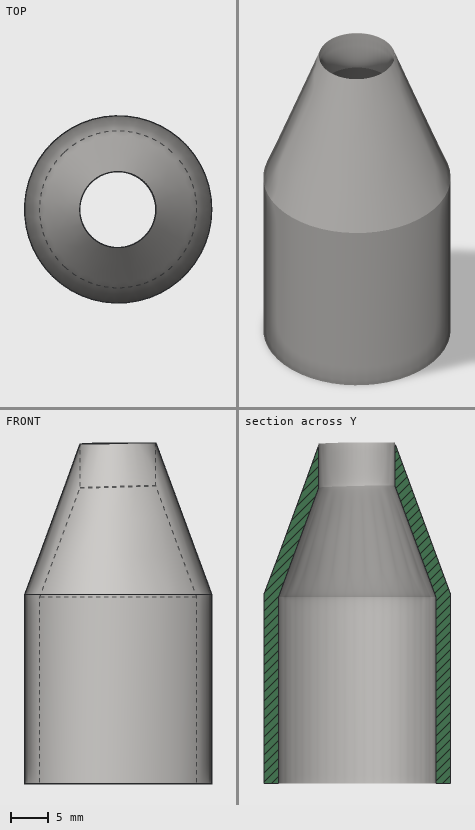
import cadquery as cq
import math

total_height = 45.0
body_height = 25.0
body_diameter = 24.75
wall_thickness = 2.0
tip_diameter = 10.0
tip_hole_diameter = 10.0

tip_hole_x = -0.05
tip_hole_y = -0.027

body_radius = body_diameter / 2
bore_radius = body_radius - wall_thickness
tip_radius = tip_diameter / 2

nose_height = total_height - body_height
nose_angle = math.atan((body_radius - tip_radius) / nose_height)
radial_wall = wall_thickness / math.cos(nose_angle)
inner_tip_radius = tip_radius - radial_wall
bore_height = total_height - (bore_radius - inner_tip_radius) / math.tan(nose_angle)


def revolved_cone_and_cylinder(cylinder_radius, cylinder_height, top_radius):
    """Solid of full height: a cylinder from the base, then a cone up to the top."""
    section = (
        cq.Workplane("XZ")
        .lineTo(cylinder_radius, 0)
        .lineTo(cylinder_radius, cylinder_height)
        .lineTo(top_radius, total_height)
        .lineTo(0, total_height)
        .close()
    )
    return section.revolve(360, (0, 0, 0), (0, 1, 0))


def make_tip_hole():
    """Straight hole through the nose, opening into the tapered cavity."""
    return (
        cq.Workplane("XY", origin=(tip_hole_x, tip_hole_y, body_height))
        .circle(tip_hole_diameter / 2)
        .extrude(nose_height)
    )


outer_shape = revolved_cone_and_cylinder(body_radius, body_height, tip_radius)
cavity = revolved_cone_and_cylinder(bore_radius, bore_height, inner_tip_radius)

result = outer_shape.cut(cavity).cut(make_tip_hole())